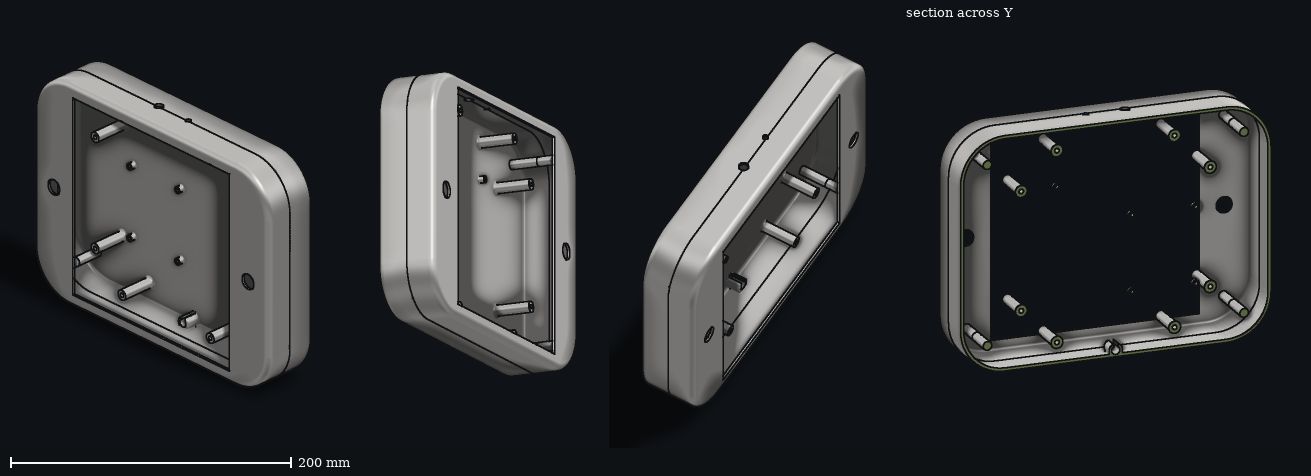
import cadquery as cq
import math

LENGTH = 240.0
DEPTH = 45.0
HEIGHT = 180.0
CORNER_RADIUS = 35.0
EDGE_FILLET = 5.0
WALL = 2.0
INNER_FILLET = EDGE_FILLET - WALL
FRONT_Y = -DEPTH / 2
BACK_Y = DEPTH / 2
PLATE_FRONT_INNER_Y = FRONT_Y + WALL
PLATE_BACK_INNER_Y = BACK_Y - WALL

SEAM_Y = -1.0
LIP_HEIGHT = 1.0
LIP_WALL = WALL / 2
LIP_Y = SEAM_Y + LIP_HEIGHT

WINDOW = 159.8
SIDE_HOLE_DIAMETER = 12.0
SIDE_HOLE_X = 99.0

TOP_HOLES = [(-15.0, 7.0), (15.0, 4.0)]

STANDOFF_DIAMETER = 8.0
STANDOFF_BORE = 3.0
STANDOFF_FLARE = 2.0
STANDOFF_REACH = 30.0
STANDOFF_END_Y = BACK_Y - STANDOFF_REACH
STANDOFF_NEAR = 45.0
STANDOFF_FAR = 72.5

POST_DIAMETER = 5.0
POST_BORE = 2.5
POST_FLARE = 1.0
POST_LENGTH = 4.5
POST_POINTS = [(-61.5, 16.5), (-12.5, 16.5), (-61.5, -41.5), (-12.5, -41.5), (STANDOFF_NEAR, STANDOFF_NEAR)]

BOSS_DIAMETER = 7.0
BOSS_X = 98.5
BOSS_Z = 68.5

FLOOR_Z = WALL - HEIGHT / 2
TUBE_DIAMETER = 10.0
TUBE_BORE = 6.0
TUBE_FILLET = 1.0
TUBE_END_Y = 9.4
TUBE_AXIS_HEIGHT = 3.8
TUBE_Z = FLOOR_Z + TUBE_AXIS_HEIGHT
SLOT_WIDTH = 3.5


def rounded_slab(inset, y_start, y_end):
    """Rounded rectangle, inset from the case outline, extruded along Y."""
    return (
        cq.Workplane("XZ", origin=(0, y_end, 0))
        .rect(LENGTH - 2 * inset, HEIGHT - 2 * inset)
        .extrude(y_end - y_start)
        .edges("|Y")
        .fillet(CORNER_RADIUS - inset)
    )


def rod(points, diameter, y_start, y_end):
    """Cylinders along Y at the given (x, z) points."""
    return (
        cq.Workplane("XZ", origin=(0, y_end, 0))
        .pushPoints(points)
        .circle(diameter / 2)
        .extrude(y_end - y_start)
    )


def flared_post(x, z, radius, flare, y_end):
    """Round post from the back wall to y_end with a concave flare at its foot."""
    foot_y = PLATE_BACK_INNER_Y
    flare_mid = flare * (1 - math.sqrt(0.5))
    return (
        cq.Workplane("XY")
        .moveTo(0, y_end)
        .lineTo(radius, y_end)
        .lineTo(radius, foot_y - flare)
        .threePointArc((radius + flare_mid, foot_y - flare_mid), (radius + flare, foot_y))
        .lineTo(radius + flare, foot_y + WALL / 2)
        .lineTo(0, foot_y + WALL / 2)
        .close()
        .revolve(360, (0, 0, 0), (0, 1, 0))
        .translate((x, 0, z))
    )


def mirrored_points(x, z):
    """The four points (+-x, +-z)."""
    return [(sx * x, sz * z) for sx in (-1, 1) for sz in (-1, 1)]


def top_holes():
    """Cutters for the holes in the top wall."""
    cutters = cq.Workplane("XY")
    for x, diameter in TOP_HOLES:
        cutters = cutters.union(
            cq.Workplane("XY", origin=(x, 0, HEIGHT / 2 - 2 * WALL))
            .circle(diameter / 2)
            .extrude(2 * WALL)
        )
    return cutters


def make_front():
    """Front half: window plate, side holes, joint lip and its share of the corner bosses."""
    body = rounded_slab(0, FRONT_Y, SEAM_Y).faces("<Y").edges().fillet(EDGE_FILLET)
    body = body.union(rounded_slab(LIP_WALL, SEAM_Y - WALL, LIP_Y))
    cavity = rounded_slab(WALL, PLATE_FRONT_INNER_Y, LIP_Y)
    body = body.cut(cavity.faces("<Y").edges().fillet(INNER_FILLET))
    body = body.union(rod(mirrored_points(BOSS_X, BOSS_Z), BOSS_DIAMETER, PLATE_FRONT_INNER_Y, SEAM_Y))
    window = cq.Workplane("XY").box(WINDOW, 2 * WALL, WINDOW).translate((0, FRONT_Y, 0))
    side_holes = rod([(-SIDE_HOLE_X, 0), (SIDE_HOLE_X, 0)], SIDE_HOLE_DIAMETER, FRONT_Y, PLATE_FRONT_INNER_Y)
    return body.cut(window).cut(side_holes).cut(top_holes())


def edge_box(half_width):
    """Selector for the edges around the tube that lie within half_width of its axis along X."""
    margin = TUBE_FILLET / 4
    return cq.selectors.BoxSelector(
        (-half_width - margin, TUBE_END_Y - margin, FLOOR_Z - margin),
        (half_width + margin, PLATE_BACK_INNER_Y + margin, TUBE_Z + TUBE_DIAMETER / 2 + margin),
        boundingbox=True,
    )


def add_slotted_tube(body):
    """Tube along the floor, open along its top, rounded where it ends and where it joins the case."""
    radius = TUBE_DIAMETER / 2
    length = PLATE_BACK_INNER_Y - TUBE_END_Y
    inside_case = rounded_slab(WALL / 2, FRONT_Y, BACK_Y - WALL / 2)
    tube = rod([(0, TUBE_Z)], TUBE_DIAMETER, TUBE_END_Y, BACK_Y).intersect(inside_case)
    slot = (
        cq.Workplane("XY")
        .box(SLOT_WIDTH, length, TUBE_DIAMETER, centered=(True, False, False))
        .translate((0, TUBE_END_Y, TUBE_Z))
    )
    slot_sides = edge_box(SLOT_WIDTH / 2) & cq.selectors.ParallelDirSelector(cq.Vector(0, 1, 0))
    body = body.union(tube).cut(slot).edges(edge_box(radius) - slot_sides).fillet(TUBE_FILLET)
    return body.cut(rod([(0, TUBE_Z)], TUBE_BORE, TUBE_END_Y, PLATE_BACK_INNER_Y))


def make_back():
    """Back half: lip recess, standoffs, board posts, slotted tube and its share of the corner bosses."""
    body = rounded_slab(0, SEAM_Y, BACK_Y).faces(">Y").edges().fillet(EDGE_FILLET)
    cavity = rounded_slab(WALL, SEAM_Y, PLATE_BACK_INNER_Y)
    body = body.cut(cavity.faces(">Y").edges().fillet(INNER_FILLET))
    body = body.cut(rounded_slab(LIP_WALL, SEAM_Y, LIP_Y))
    body = body.union(rod(mirrored_points(BOSS_X, BOSS_Z), BOSS_DIAMETER, SEAM_Y, PLATE_BACK_INNER_Y))
    standoffs = mirrored_points(STANDOFF_NEAR, STANDOFF_FAR) + mirrored_points(STANDOFF_FAR, STANDOFF_NEAR)
    for x, z in standoffs:
        body = body.union(flared_post(x, z, STANDOFF_DIAMETER / 2, STANDOFF_FLARE, STANDOFF_END_Y))
    body = body.cut(rod(standoffs, STANDOFF_BORE, STANDOFF_END_Y, BACK_Y))
    post_end_y = PLATE_BACK_INNER_Y - POST_LENGTH
    for x, z in POST_POINTS:
        body = body.union(flared_post(x, z, POST_DIAMETER / 2, POST_FLARE, post_end_y))
    body = body.cut(rod(POST_POINTS, POST_BORE, post_end_y, PLATE_BACK_INNER_Y))
    return add_slotted_tube(body).cut(top_holes())


front = make_front()
back = make_back()
result = cq.Compound.makeCompound([front.val(), back.val()])